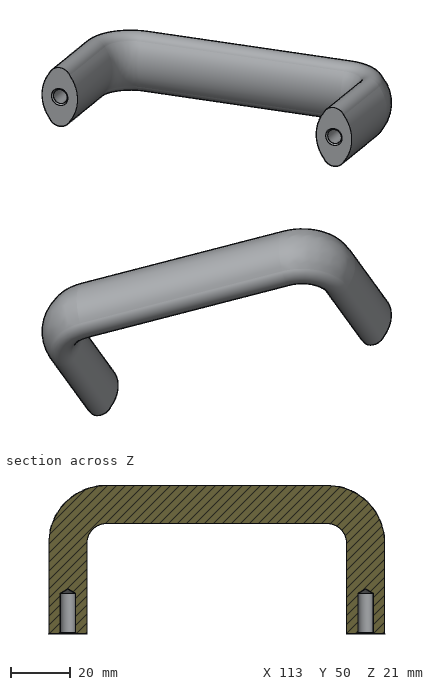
import cadquery as cq
import math

length = 113.0
projection = 50.0
height = 21.0

bar_width = 13.0
joint_half_width = 3.7
joint_half_height = 8.1

bend_radius = 13.0

hole_diameter = 5.0
mouth_diameter = 6.0
hole_depth = 13.6
drill_tip_angle = 118.0

leg_x = (length - bar_width) / 2
bar_y = projection - bar_width / 2


def make_bar():
    """Sweep the oval section along the leg, bend, grip, bend, leg path."""
    bend_x = leg_x - bend_radius
    bend_y = bar_y - bend_radius
    diagonal = bend_radius * math.sqrt(0.5)
    path = (
        cq.Workplane("XY")
        .moveTo(-leg_x, 0)
        .lineTo(-leg_x, bend_y)
        .threePointArc((-bend_x - diagonal, bend_y + diagonal), (-bend_x, bar_y))
        .lineTo(bend_x, bar_y)
        .threePointArc((bend_x + diagonal, bend_y + diagonal), (leg_x, bend_y))
        .lineTo(leg_x, 0)
    )
    section = (
        cq.Workplane("XZ", origin=(-leg_x, 0, 0))
        .moveTo(joint_half_width, -joint_half_height)
        .threePointArc((bar_width / 2, 0), (joint_half_width, joint_half_height))
        .threePointArc((0, height / 2), (-joint_half_width, joint_half_height))
        .threePointArc((-bar_width / 2, 0), (-joint_half_width, -joint_half_height))
        .threePointArc((0, -height / 2), (joint_half_width, -joint_half_height))
        .close()
    )
    return section.sweep(path)


def make_hole(x):
    """Blind hole with a 45-degree countersunk mouth and a conical drill tip."""
    hole_radius = hole_diameter / 2
    mouth_radius = mouth_diameter / 2
    tip_length = hole_radius / math.tan(math.radians(drill_tip_angle / 2))
    return (
        cq.Workplane("XY", origin=(x, 0, 0))
        .lineTo(mouth_radius, 0)
        .lineTo(hole_radius, mouth_radius - hole_radius)
        .lineTo(hole_radius, hole_depth)
        .lineTo(0, hole_depth + tip_length)
        .close()
        .revolve(360, (0, 0, 0), (0, 1, 0))
    )


result = make_bar()
for foot_x in (-leg_x, leg_x):
    result = result.cut(make_hole(foot_x))